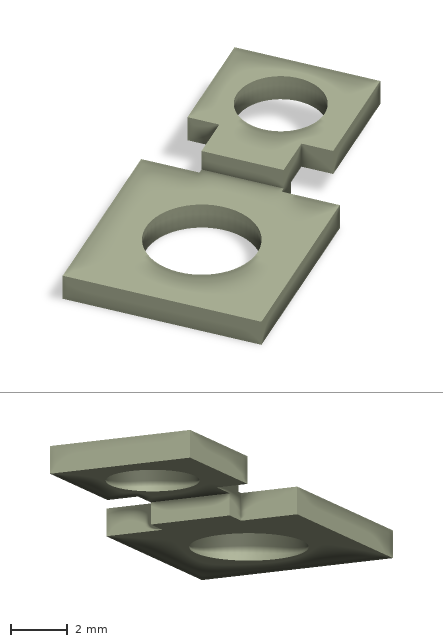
import cadquery as cq

thickness = 1.0
step_height = 0.8

plate_side = 7.5
plate_hole_diameter = 4.2
plate_hole_y = 0.05

tab_width = 5.5
tab_length = 4.5
tab_hole_diameter = 3.3
tab_hole_to_end = 2.55

overall_length = 13.9
neck_width = 3.1
lower_neck_length = 0.9
upper_neck_setback = 0.2

plate_end = plate_side / 2
tab_end = overall_length - plate_side / 2
tab_start = tab_end - tab_length
tab_hole_y = tab_end - tab_hole_to_end
upper_neck_start = plate_end + upper_neck_setback


def slab(width, y_start, y_end, z_bottom):
    """Flat strip of sheet, centred on X, between two Y positions."""
    return (
        cq.Workplane("XY")
        .box(width, y_end - y_start, thickness, centered=(True, False, False))
        .translate((0, y_start, z_bottom))
    )


def through_hole(diameter, y):
    """Vertical cutter spanning both levels."""
    return cq.Workplane("XY").center(0, y).circle(diameter / 2).extrude(step_height + thickness)


plate = slab(plate_side, -plate_end, plate_end, 0)
lower_neck = slab(neck_width, 0, plate_end + lower_neck_length, 0)
upper_neck = slab(neck_width, upper_neck_start, tab_start, step_height)
tab = slab(tab_width, tab_start, tab_end, step_height)

result = (
    plate.union(lower_neck)
    .union(upper_neck)
    .union(tab)
    .cut(through_hole(plate_hole_diameter, plate_hole_y))
    .cut(through_hole(tab_hole_diameter, tab_hole_y))
)